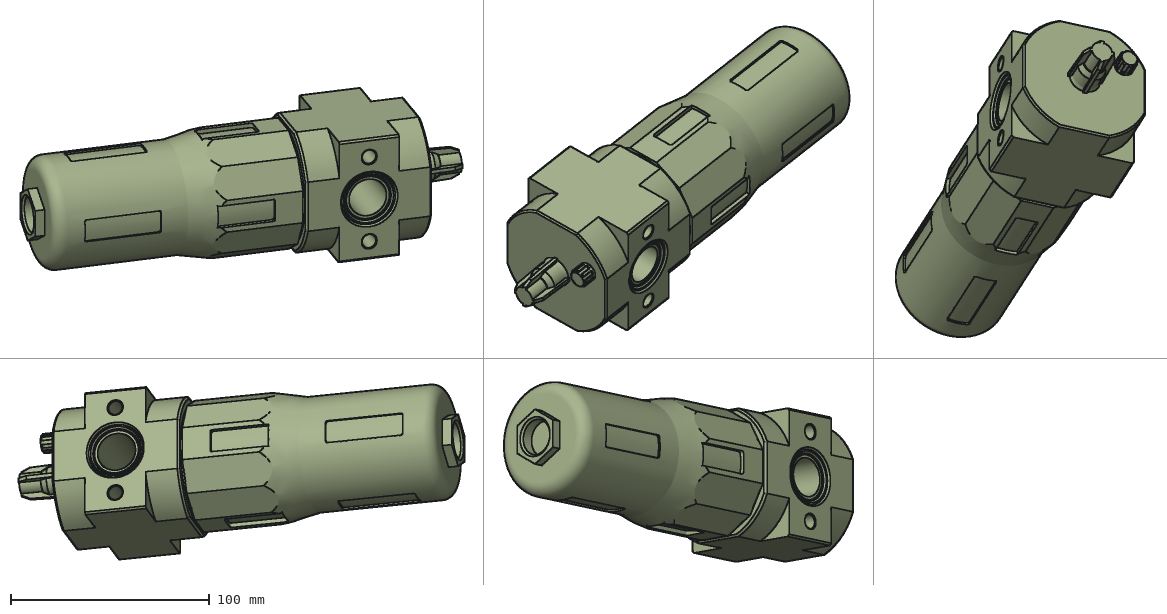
import cadquery as cq
import math


OVERALL_LENGTH = 228.0
TIP_Y = 58.0
HEAD_BACK_Y = 33.0
HEAD_FRONT_Y = -33.5
GUARD_BACK_Y = -34.9
TAPER_START_Y = -71.8
TAPER_END_Y = -94.6
GUARD_FRONT_Y = -165.0
NUT_FRONT_Y = TIP_Y - OVERALL_LENGTH

HEAD_SIZE = 66.0
HEAD_CORNER_RADIUS = 35.5
HEAD_FRONT_CHAMFER = 1.1
HEAD_BACK_CHAMFER = 1.0
PORT_BLOCK_LENGTH = 31.7
PORT_BLOCK_CHAMFER = 1.03
NECK_DIAMETER = 62.0

BORE_DIAMETER = 19.8
PORT_MOUTH_DIAMETER = 30.0
PORT_SEAT_DIAMETER = 28.3
PORT_SEAT_DEPTH = 1.1
PORT_STEP_DIAMETER = 26.5
PORT_FLOOR_DIAMETER = 24.5
PORT_FLOOR_DEPTH = 2.0
BORE_STEP_DIAMETER = 23.0
BORE_STEP_DEPTH = 0.5
MOUNTING_HOLE_DIAMETER = 7.3
MOUNTING_HOLE_CHAMFER = 0.5
MOUNTING_HOLE_SPACING = 46.0

GUARD_SIDES = 12
GUARD_FLAT_RADIUS = 32.4
GUARD_CORNER_RADIUS = GUARD_FLAT_RADIUS / math.cos(math.pi / GUARD_SIDES)
GUARD_RADIUS = 29.5
TAPER_SLOPE = 0.21
GUARD_END_FILLET = 6.4

WINDOW_WIDTH = 11.9
WINDOW_CORNER_RADIUS = 1.1
UPPER_WINDOW_Y = (-79.8, -49.5)
UPPER_WINDOW_FLOOR_DIAMETER = 61.0
LOWER_WINDOW_Y = (-149.0, -108.8)
LOWER_WINDOW_FLOOR_DIAMETER = 56.8

NUT_ACROSS_FLATS = 24.5
NUT_HOLE_DIAMETER = 18.0
NUT_HOLE_CHAMFER = 1.1
NUT_HOLE_DEPTH = 7.3

CORE_TIP_RADIUS = 5.5
CORE_SHOULDER_RADIUS = 6.0
CORE_RADIUS = 7.5
CORE_BASE_RADIUS = 8.2
CORE_SHOULDER_Y = 46.5
CORE_TOP_Y = 43.0
CORE_BASE_Y = 35.0
FIN_THICKNESS = 2.0
FIN_RADIUS = 8.5
FIN_TIP_RADIUS = 6.4
FIN_TIP_LENGTH = 4.5
FIN_BASE_DIAMETER = 18.2

KNOB_X = -21.0
KNOB_Z = 12.3
KNOB_DIAMETER = 10.0
KNOB_END_Y = 41.3
KNOB_CHAMFER = 1.0
FLUTE_COUNT = 8
FLUTE_WIDTH = 2.0
FLUTE_FLOOR_RADIUS = 4.0
FLUTE_START_Y = 34.5
FLUTE_FIRST_ANGLE = 14.5

OVERLAP = 2.3


def across_y(y):
    """Sketch plane normal to Y, with local x along X, local y along Z and extrusion toward -Y."""
    return cq.Workplane("XZ", origin=(0, y, 0))


def revolve_about_y(points):
    """Solid of revolution about Y from (radius, y) points."""
    return cq.Workplane("XY").polyline(points).close().revolve(360, (0, 0, 0), (0, 1, 0))


def make_head():
    """Square body with round corners, a square port block around its middle and a round neck in front."""
    length = HEAD_BACK_Y - HEAD_FRONT_Y
    body = across_y(HEAD_BACK_Y).rect(HEAD_SIZE, HEAD_SIZE).extrude(length)
    body = body.intersect(across_y(HEAD_BACK_Y).circle(HEAD_CORNER_RADIUS).extrude(length))
    body = body.faces("<Y").chamfer(HEAD_FRONT_CHAMFER)
    body = body.faces(">Y").chamfer(HEAD_BACK_CHAMFER)
    block = cq.Workplane("XY").box(HEAD_SIZE, PORT_BLOCK_LENGTH, HEAD_SIZE)
    block = block.edges("|Y").chamfer(PORT_BLOCK_CHAMFER)
    neck_length = HEAD_FRONT_Y - GUARD_BACK_Y + 2 * OVERLAP
    neck = across_y(HEAD_FRONT_Y + OVERLAP).circle(NECK_DIAMETER / 2).extrude(neck_length)
    return body.union(block).union(neck)


def make_port_cutter():
    """Stepped bore through the head along X, with the same mouth at both ends."""
    face = HEAD_SIZE / 2
    seat = face - PORT_SEAT_DEPTH
    floor = face - PORT_FLOOR_DEPTH
    bore_end = floor - BORE_STEP_DEPTH
    half_profile = [
        (face, PORT_MOUTH_DIAMETER / 2),
        (seat, PORT_SEAT_DIAMETER / 2),
        (seat, PORT_STEP_DIAMETER / 2),
        (floor, PORT_FLOOR_DIAMETER / 2),
        (floor, BORE_STEP_DIAMETER / 2),
        (bore_end, BORE_STEP_DIAMETER / 2),
        (bore_end, BORE_DIAMETER / 2),
    ]
    mirrored = [(-x, radius) for x, radius in reversed(half_profile)]
    outline = [(face, 0)] + half_profile + mirrored + [(-face, 0)]
    return cq.Workplane("XY").polyline(outline).close().revolve(360, (0, 0, 0), (1, 0, 0))


def make_mounting_holes():
    """Two through holes along X, above and below the port, chamfered at both mouths."""
    face = HEAD_SIZE / 2
    inner = face - MOUNTING_HOLE_CHAMFER
    radius = MOUNTING_HOLE_DIAMETER / 2
    mouth_radius = radius + MOUNTING_HOLE_CHAMFER
    outline = [
        (-face, 0),
        (-face, mouth_radius),
        (-inner, radius),
        (inner, radius),
        (face, mouth_radius),
        (face, 0),
    ]
    hole = cq.Workplane("XY").polyline(outline).close().revolve(360, (0, 0, 0), (1, 0, 0))
    offset = MOUNTING_HOLE_SPACING / 2
    return hole.translate((0, 0, offset)).union(hole.translate((0, 0, -offset)))


def make_guard():
    """Twelve-sided sleeve that tapers into a round bowl with a rounded end."""
    sleeve_radius = GUARD_RADIUS + TAPER_SLOPE * (TAPER_START_Y - TAPER_END_Y)
    envelope = revolve_about_y([
        (0, GUARD_BACK_Y),
        (sleeve_radius, GUARD_BACK_Y),
        (sleeve_radius, TAPER_START_Y),
        (GUARD_RADIUS, TAPER_END_Y),
        (GUARD_RADIUS, GUARD_FRONT_Y),
        (0, GUARD_FRONT_Y),
    ])
    envelope = envelope.faces("<Y").edges().fillet(GUARD_END_FILLET)
    prism = across_y(GUARD_BACK_Y).polygon(GUARD_SIDES, 2 * GUARD_CORNER_RADIUS)
    prism = prism.extrude(GUARD_BACK_Y - GUARD_FRONT_Y)
    half_facet = 180 / GUARD_SIDES
    prism = prism.rotate((0, 0, 0), (0, 1, 0), half_facet)
    return envelope.intersect(prism)


def make_window_cutters(y_range, floor_diameter, rounded_edges):
    """Four window recesses, on +Z, +X, -Z and -X, over a round floor."""
    front_y, back_y = y_range
    length = back_y - front_y
    window = cq.Workplane("XY").box(WINDOW_WIDTH, length, HEAD_SIZE / 2, centered=(True, True, False))
    window = window.edges(rounded_edges).fillet(WINDOW_CORNER_RADIUS)
    window = window.translate((0, (front_y + back_y) / 2, 0))
    cutters = window
    for angle in (90, 180, 270):
        cutters = cutters.union(window.rotate((0, 0, 0), (0, 1, 0), angle))
    floor = across_y(back_y + OVERLAP).circle(floor_diameter / 2).extrude(length + 2 * OVERLAP)
    return cutters.cut(floor)


def make_nut():
    length = GUARD_FRONT_Y - NUT_FRONT_Y + OVERLAP
    across_corners = NUT_ACROSS_FLATS / math.cos(math.pi / 6)
    nut = across_y(GUARD_FRONT_Y + OVERLAP).polygon(6, across_corners).extrude(length)
    return nut.rotate((0, 0, 0), (0, 1, 0), 30)


def make_nut_hole():
    """Blind hole in the nut face with a chamfered mouth."""
    radius = NUT_HOLE_DIAMETER / 2
    return revolve_about_y([
        (0, NUT_FRONT_Y),
        (radius + NUT_HOLE_CHAMFER, NUT_FRONT_Y),
        (radius, NUT_FRONT_Y + NUT_HOLE_CHAMFER),
        (radius, NUT_FRONT_Y + NUT_HOLE_DEPTH),
        (0, NUT_FRONT_Y + NUT_HOLE_DEPTH),
    ])


def make_fitting():
    """Stepped core behind the head with tapering fins on +X, +Z, -X and -Z."""
    root_y = HEAD_BACK_Y - OVERLAP
    core = revolve_about_y([
        (0, root_y),
        (CORE_BASE_RADIUS, root_y),
        (CORE_BASE_RADIUS, HEAD_BACK_Y),
        (CORE_RADIUS, CORE_BASE_Y),
        (CORE_RADIUS, CORE_TOP_Y),
        (CORE_SHOULDER_RADIUS, CORE_SHOULDER_Y),
        (CORE_TIP_RADIUS, CORE_SHOULDER_Y),
        (CORE_TIP_RADIUS, TIP_Y),
        (0, TIP_Y),
    ])
    base_radius = FIN_BASE_DIAMETER / 2
    fin_envelope = revolve_about_y([
        (0, root_y),
        (base_radius, root_y),
        (base_radius, HEAD_BACK_Y),
        (FIN_RADIUS, TIP_Y - FIN_TIP_LENGTH),
        (FIN_TIP_RADIUS, TIP_Y),
        (0, TIP_Y),
    ])
    fin_length = TIP_Y - root_y
    cross = across_y(TIP_Y).rect(FIN_BASE_DIAMETER, FIN_THICKNESS).extrude(fin_length)
    cross = cross.union(across_y(TIP_Y).rect(FIN_THICKNESS, FIN_BASE_DIAMETER).extrude(fin_length))
    return core.union(cross.intersect(fin_envelope))


def make_knob():
    """Round knob with straight flutes around its rim."""
    radius = KNOB_DIAMETER / 2
    knob = across_y(KNOB_END_Y).circle(radius).extrude(KNOB_END_Y - HEAD_BACK_Y + OVERLAP)
    knob = knob.faces(">Y").chamfer(KNOB_CHAMFER)
    flute_length = KNOB_END_Y - FLUTE_START_Y
    flute = cq.Workplane("XY").box(radius, flute_length, FLUTE_WIDTH, centered=(False, False, True))
    flute = flute.translate((FLUTE_FLOOR_RADIUS, FLUTE_START_Y, 0))
    for index in range(FLUTE_COUNT):
        angle = FLUTE_FIRST_ANGLE + index * 360 / FLUTE_COUNT
        knob = knob.cut(flute.rotate((0, 0, 0), (0, 1, 0), -angle))
    return knob.translate((KNOB_X, 0, KNOB_Z))


head = make_head().cut(make_port_cutter()).cut(make_mounting_holes())
guard = make_guard()
guard = guard.cut(make_window_cutters(UPPER_WINDOW_Y, UPPER_WINDOW_FLOOR_DIAMETER, "|Z and >Y"))
guard = guard.cut(make_window_cutters(LOWER_WINDOW_Y, LOWER_WINDOW_FLOOR_DIAMETER, "|Z"))
guard = guard.union(make_nut()).cut(make_nut_hole())
result = head.union(guard).union(make_fitting()).union(make_knob())